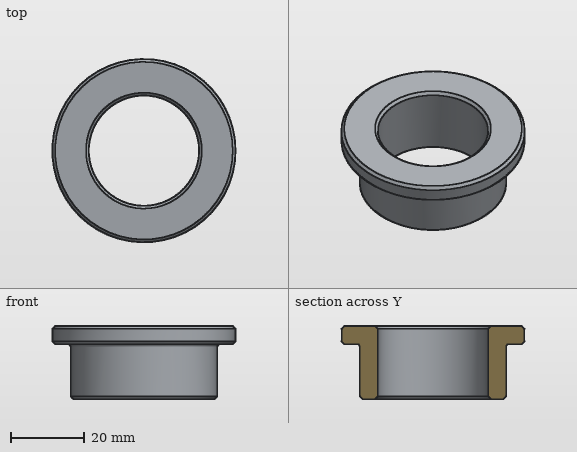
import cadquery as cq

flange_diameter = 50.0
sleeve_diameter = 40.0
bore_diameter = 30.0
total_height = 20.0
flange_thickness = 5.0
edge_chamfer = 0.8
neck_fillet = 0.8

flange_radius = flange_diameter / 2
sleeve_radius = sleeve_diameter / 2
bore_radius = bore_diameter / 2
flange_bottom = total_height - flange_thickness

smallest_circle = cq.selectors.RadiusNthSelector(0)
largest_circle = cq.selectors.RadiusNthSelector(-1)


def revolved_bushing():
    """Sleeve and flange with a through bore, all edges still sharp."""
    return (
        cq.Workplane("XZ")
        .moveTo(bore_radius, 0)
        .lineTo(sleeve_radius, 0)
        .lineTo(sleeve_radius, flange_bottom)
        .lineTo(flange_radius, flange_bottom)
        .lineTo(flange_radius, total_height)
        .lineTo(bore_radius, total_height)
        .close()
        .revolve(360, (0, 0, 0), (0, 1, 0))
    )


bushing = revolved_bushing()

underside = cq.selectors.BoxSelector(
    (-flange_diameter, -flange_diameter, flange_bottom - neck_fillet),
    (flange_diameter, flange_diameter, flange_bottom + neck_fillet),
)
bushing = bushing.edges(underside).edges(smallest_circle).fillet(neck_fillet)

bushing = bushing.faces(">Z or <Z").edges().chamfer(edge_chamfer)
bushing = bushing.edges("%CIRCLE").edges(largest_circle).edges("<Z").chamfer(edge_chamfer)

result = bushing